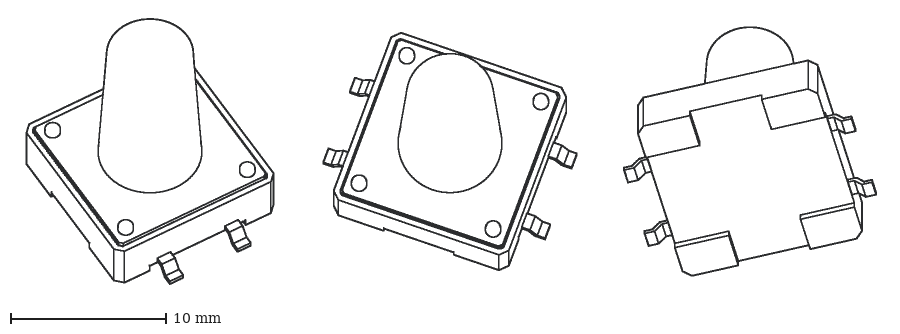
import cadquery as cq
import math

body_side = 12.0
body_height = 3.35
body_bevel = 0.5

channel_height = 0.5
channel_width_x = 4.8
channel_width_y = 7.2

pocket_side = 11.2
pocket_depth = 0.15
plate_gap = 0.1
plate_side = pocket_side - 2 * plate_gap
plate_top = 3.5
plate_bevel = 0.2

button_top = 14.0
button_tip_radius = 2.8
button_draft_deg = 3.0
button_rim_radius = 0.1
button_base_radius = button_tip_radius + (button_top - plate_top) * math.tan(math.radians(button_draft_deg))

rivet_pitch_x = 9.18
rivet_pitch_y = 9.14
rivet_radius = 0.5
rivet_height = 0.4
rivet_rim_radius = 0.1

terminal_span = 15.2
terminal_width = 1.0
terminal_pitch = 5.08
terminal_thickness = 0.3
terminal_rise = 0.65
terminal_slope_run = 0.5
terminal_foot = 0.53


def bevelled_block(side, bevel, bottom, top):
    """Square block, centred on Z, with its four vertical edges bevelled."""
    block = cq.Workplane("XY").workplane(offset=bottom).rect(side, side).extrude(top - bottom)
    return block.edges("|Z").chamfer(bevel)


def channel(size_x, size_y):
    """Rectangular channel cut upward from the underside."""
    return cq.Workplane("XY").rect(size_x, size_y).extrude(channel_height)


def make_housing():
    pocket_floor = body_height - pocket_depth
    housing = bevelled_block(body_side, body_bevel, 0, body_height)
    housing = housing.cut(channel(channel_width_x, body_side))
    housing = housing.cut(channel(body_side, channel_width_y))
    housing = housing.cut(bevelled_block(pocket_side, plate_bevel, pocket_floor, body_height))
    return housing.union(bevelled_block(plate_side, plate_bevel, pocket_floor, plate_top))


def make_button():
    profile = [
        (0, plate_top),
        (-button_base_radius, plate_top),
        (-button_tip_radius, button_top),
        (0, button_top),
    ]
    button = cq.Workplane("XZ").polyline(profile).close().revolve(360, (0, 0), (0, 1))
    return button.faces(">Z").edges().fillet(button_rim_radius)


def make_rivets():
    rivets = cq.Workplane("XY").workplane(offset=plate_top)
    rivets = rivets.rect(rivet_pitch_x, rivet_pitch_y, forConstruction=True).vertices()
    rivets = rivets.circle(rivet_radius).extrude(rivet_height)
    return rivets.faces(">Z").edges().fillet(rivet_rim_radius)


def make_terminal(y_centre):
    """Gull-wing strip of constant thickness on the -X side."""
    slope_angle = math.atan2(terminal_rise, terminal_slope_run)
    bend_shift = terminal_thickness * math.tan(slope_angle / 2)
    tip = -terminal_span / 2
    wall = -body_side / 2
    upper_bend_1 = tip + terminal_foot
    upper_bend_2 = upper_bend_1 + terminal_slope_run
    shoulder_top = terminal_rise + terminal_thickness
    profile = [
        (tip, 0),
        (upper_bend_1 + bend_shift, 0),
        (upper_bend_2 + bend_shift, terminal_rise),
        (wall, terminal_rise),
        (wall, shoulder_top),
        (upper_bend_2, shoulder_top),
        (upper_bend_1, terminal_thickness),
        (tip, terminal_thickness),
    ]
    strip = cq.Workplane("XZ").polyline(profile).close().extrude(terminal_width / 2, both=True)
    return strip.translate((0, y_centre, 0))


result = make_housing().union(make_button()).union(make_rivets())
for y_centre in (-terminal_pitch / 2, terminal_pitch / 2):
    terminal = make_terminal(y_centre)
    result = result.union(terminal).union(terminal.mirror("YZ"))